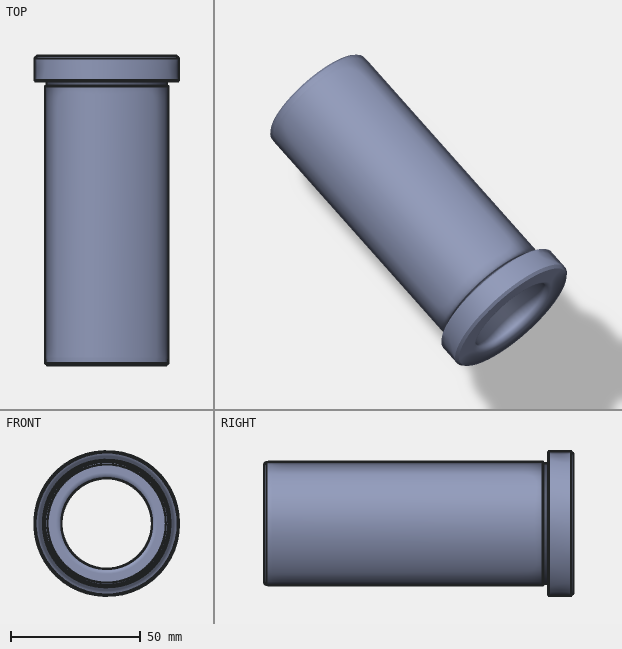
import cadquery as cq
import math

length = 120.0
head_radius = 56.0 / 2
head_length = 10.0
head_back_chamfer = 1.1
head_front_chamfer = 0.5
body_radius = 24.0
body_start = 12.0
bore_radius = 17.5
bore_fillet = 2.0
groove_radius = 23.4
face_relief_radius = 24.7
face_relief_depth = 0.5
groove_edge_chamfer = 0.4
lead_length = 3.0
lead_step = 0.1
nose_chamfer = 1.0

back = length / 2
nose = -length / 2
head_face = back - head_length
body_shoulder = back - body_start
lead_radius = body_radius - lead_step
fillet_mid_inset = bore_fillet * (1 - math.cos(math.pi / 4))
fillet_mid_radius = bore_radius + fillet_mid_inset


def make_bush():
    """Revolve the half section (radius, axial position) about Y."""
    section = (
        cq.Workplane("XY")
        .moveTo(bore_radius, nose + bore_fillet)
        .threePointArc(
            (fillet_mid_radius, nose + fillet_mid_inset),
            (bore_radius + bore_fillet, nose),
        )
        .lineTo(lead_radius - nose_chamfer, nose)
        .lineTo(lead_radius, nose + nose_chamfer)
        .lineTo(body_radius, nose + lead_length)
        .lineTo(body_radius, body_shoulder)
        .lineTo(groove_radius, body_shoulder + groove_edge_chamfer)
        .lineTo(groove_radius, head_face + face_relief_depth)
        .lineTo(face_relief_radius - face_relief_depth, head_face + face_relief_depth)
        .lineTo(face_relief_radius, head_face)
        .lineTo(head_radius - head_front_chamfer, head_face)
        .lineTo(head_radius, head_face + head_front_chamfer)
        .lineTo(head_radius, back - head_back_chamfer)
        .lineTo(head_radius - head_back_chamfer, back)
        .lineTo(bore_radius + bore_fillet, back)
        .threePointArc(
            (fillet_mid_radius, back - fillet_mid_inset),
            (bore_radius, back - bore_fillet),
        )
        .close()
    )
    return section.revolve(360, (0, 0, 0), (0, 1, 0))


result = make_bush()